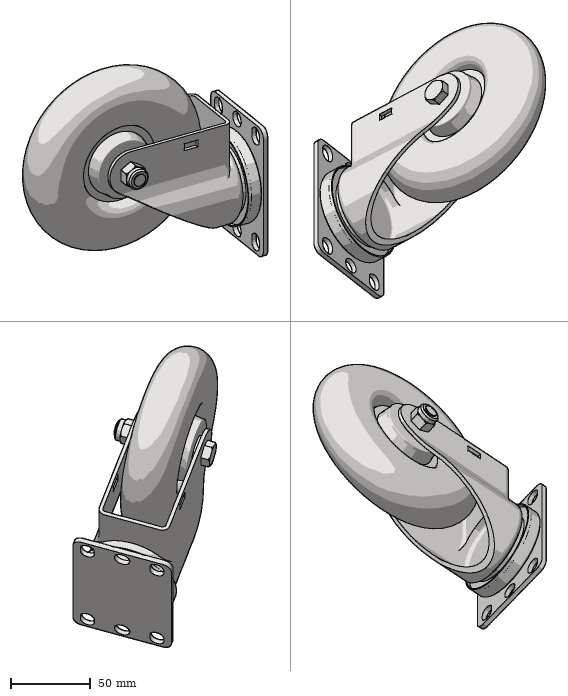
import cadquery as cq
import math


PLATE_WIDTH = 65.0
PLATE_HEIGHT = 92.0
PLATE_THICKNESS = 3.3
PLATE_CORNER = 6.0
SLOT_X = 23.0
SLOT_Z = 37.8
SLOT_WIDTH = 9.3
SLOT_LENGTH = 11.8
HOLE_Z = 39.2
HOLE_DIAMETER = 10.0

RACE_RADIUS = 31.5
RACE_FRONT = 13.5
RACE_EDGE = 1.7
RACE_LIP = 0.8
RACE_RECESS = 2.5

WHEEL_RADIUS = 62.5
TYRE_RADIUS = 16.0
WHEEL_REACH = 157.0
AXLE_DISTANCE = WHEEL_REACH - WHEEL_RADIUS
AXLE_Z = 37.0
TYRE_CENTRE_RADIUS = WHEEL_RADIUS - TYRE_RADIUS
RECESS_RADIUS = 26.7
RECESS_LIP = 7.8
HUB_RADIUS = 20.3
HUB_HALF_WIDTH = 18.0
HUB_EDGE = 0.5
HUB_ROOT_RADIUS = 21.8

SHEET = 2.5
CUP_RADIUS = 28.9
CUP_BACK = 14.0
CUP_EDGE = 4.9
FORK_HALF_WIDTH = 23.2
FORK_BACK = 20.4
FORK_BEND = 4.7
FLARE_TOP_Z = 23.5
FORK_END_RADIUS = 15.0
FORK_TOP_Z = AXLE_Z + FORK_END_RADIUS
CUP_CUT_DISTANCE = 21.4
WINDOW_NEAR = 45.5
WINDOW_LENGTH = 9.9
WINDOW_HEIGHT = 4.9
WINDOW_TOP_Z = 47.0

HEX_FLATS = 14.0
HEX_DIAMETER = HEX_FLATS / math.cos(math.radians(30))
HEX_CHAMFER = 0.8
HEAD_HEIGHT = 5.7
NUT_HEIGHT = 6.9
COLLAR_END = 34.2
COLLAR_CHAMFER = 1.1
BOLT_END = 35.0
BOLT_RADIUS = 4.2
SPACER_RADIUS = 9.9

CLEARANCE = 15.7


def cylinder_y(radius, near, far):
    """Cylinder on the swivel axis between two distances from the mounting face."""
    return cq.Workplane("XZ").workplane(offset=near).circle(radius).extrude(far - near)


def axle_plane(x):
    """Work plane facing +X, centred on the axle."""
    return cq.Workplane("YZ", origin=(x, -AXLE_DISTANCE, AXLE_Z))


def make_plate():
    plate = (
        cq.Workplane("XZ")
        .rect(PLATE_WIDTH, PLATE_HEIGHT)
        .extrude(PLATE_THICKNESS)
        .edges("|Y")
        .fillet(PLATE_CORNER)
    )
    slots = (
        cq.Workplane("XZ")
        .rect(2 * SLOT_X, 2 * SLOT_Z, forConstruction=True)
        .vertices()
        .slot2D(SLOT_LENGTH, SLOT_WIDTH, 90)
        .extrude(PLATE_THICKNESS)
    )
    holes = (
        cq.Workplane("XZ")
        .pushPoints([(0, HOLE_Z), (0, -HOLE_Z)])
        .circle(HOLE_DIAMETER / 2)
        .extrude(PLATE_THICKNESS)
    )
    return plate.cut(slots).cut(holes)


def make_race():
    """Race with a recessed front face and a neck that carries the fork cup."""
    race = cylinder_y(RACE_RADIUS, PLATE_THICKNESS, RACE_FRONT).edges(">Y").fillet(RACE_EDGE)
    recess_floor = RACE_FRONT - RACE_RECESS
    recess = cylinder_y(RACE_RADIUS - RACE_LIP, recess_floor, RACE_FRONT)
    neck = cylinder_y(CUP_RADIUS - CUP_EDGE, recess_floor, CUP_BACK)
    return race.cut(recess).union(neck)


def make_fork_envelope(inset):
    """Solid bounded by the fork's outer skin, moved inwards by the inset."""
    cup_radius = CUP_RADIUS - inset
    half_width = FORK_HALF_WIDTH - inset
    back = FORK_BACK + inset

    flare_radius = (
        (FORK_HALF_WIDTH**2 + FLARE_TOP_Z**2 - CUP_RADIUS**2) / (2 * (CUP_RADIUS - FORK_HALF_WIDTH)) + inset
    )
    flare_x = half_width + flare_radius
    to_cup = math.atan2(FLARE_TOP_Z, flare_x)
    cup_x = cup_radius * math.cos(to_cup)
    cup_z = cup_radius * math.sin(to_cup)
    middle = math.pi + to_cup / 2
    mid_x = flare_x + flare_radius * math.cos(middle)
    mid_z = FLARE_TOP_Z + flare_radius * math.sin(middle)
    top = FORK_TOP_Z + CLEARANCE

    channel = (
        cq.Workplane("XZ")
        .workplane(offset=back)
        .moveTo(-half_width, top)
        .lineTo(half_width, top)
        .lineTo(half_width, FLARE_TOP_Z)
        .threePointArc((mid_x, mid_z), (cup_x, cup_z))
        .threePointArc((0, -cup_radius), (-cup_x, cup_z))
        .threePointArc((-mid_x, mid_z), (-half_width, FLARE_TOP_Z))
        .close()
        .extrude(WHEEL_REACH - back)
        .faces(">Y")
        .edges()
        .fillet(FORK_BEND - inset)
    )
    cup = cylinder_y(cup_radius, CUP_BACK + inset, WHEEL_REACH).edges(">Y").fillet(CUP_EDGE - inset)
    return channel.union(cup)


def make_fork_side_shape():
    """Side outline of the fork, extruded through its full width."""
    drop = AXLE_Z + CUP_RADIUS
    run = AXLE_DISTANCE - CUP_CUT_DISTANCE
    slope = math.atan2(drop, run) - math.asin(FORK_END_RADIUS / math.hypot(drop, run))
    tangent_y = -AXLE_DISTANCE - FORK_END_RADIUS * math.sin(slope)
    tangent_z = AXLE_Z - FORK_END_RADIUS * math.cos(slope)
    arc_middle = (math.pi / 2 - slope) / 2
    arc_y = -AXLE_DISTANCE - FORK_END_RADIUS * math.cos(arc_middle)
    arc_z = AXLE_Z + FORK_END_RADIUS * math.sin(arc_middle)
    return (
        cq.Workplane("YZ")
        .moveTo(-CUP_BACK, FORK_TOP_Z)
        .lineTo(-AXLE_DISTANCE, FORK_TOP_Z)
        .threePointArc((arc_y, arc_z), (tangent_y, tangent_z))
        .lineTo(-CUP_CUT_DISTANCE, -CUP_RADIUS)
        .lineTo(-CUP_BACK, -CUP_RADIUS)
        .close()
        .extrude(CUP_RADIUS, both=True)
    )


def make_fork():
    fork = make_fork_envelope(0).cut(make_fork_envelope(SHEET)).intersect(make_fork_side_shape())
    windows = cq.Workplane("XY").box(2 * CUP_RADIUS, WINDOW_LENGTH, WINDOW_HEIGHT).translate(
        (0, -WINDOW_NEAR - WINDOW_LENGTH / 2, WINDOW_TOP_Z - WINDOW_HEIGHT / 2)
    )
    return fork.cut(windows)


def revolve_about_x(outline):
    return outline.close().revolve(360, (0, 0, 0), (1, 0, 0))


def make_wheel():
    """Wheel disc with a half-round tyre, a ring recess on each side and a hub that stands proud."""
    disc = revolve_about_x(
        cq.Workplane("XY")
        .moveTo(-TYRE_RADIUS, 0)
        .lineTo(TYRE_RADIUS, 0)
        .lineTo(TYRE_RADIUS, TYRE_CENTRE_RADIUS)
        .threePointArc((0, WHEEL_RADIUS), (-TYRE_RADIUS, TYRE_CENTRE_RADIUS))
    )

    floor = TYRE_RADIUS - RECESS_LIP
    bend = math.sqrt(0.5)
    lip_centre = RECESS_RADIUS + RECESS_LIP
    recess = revolve_about_x(
        cq.Workplane("XY")
        .moveTo(TYRE_RADIUS, HUB_RADIUS)
        .lineTo(floor, HUB_ROOT_RADIUS)
        .lineTo(floor, RECESS_RADIUS)
        .threePointArc(
            (floor + RECESS_LIP * bend, lip_centre - RECESS_LIP * bend),
            (TYRE_RADIUS, lip_centre),
        )
    )
    hub = (
        cq.Workplane("YZ")
        .circle(HUB_RADIUS)
        .extrude(HUB_HALF_WIDTH, both=True)
        .faces("<X or >X")
        .fillet(HUB_EDGE)
    )
    wheel = disc.cut(recess).cut(recess.mirror("YZ")).union(hub)
    return wheel.translate((0, -AXLE_DISTANCE, AXLE_Z))


def make_hexagon(x, height):
    """Hexagon with corners up and down, its outer corners chamfered; negative height builds to -X."""
    prism = axle_plane(x).transformed(rotate=(0, 0, 90)).polygon(6, HEX_DIAMETER).extrude(height)
    outer = ">X" if height > 0 else "<X"
    blank = axle_plane(x).circle(HEX_DIAMETER / 2).extrude(height).faces(outer).chamfer(HEX_CHAMFER)
    return prism.intersect(blank)


def make_axle():
    nut_end = FORK_HALF_WIDTH + NUT_HEIGHT
    head = make_hexagon(-FORK_HALF_WIDTH, -HEAD_HEIGHT)
    nut = make_hexagon(FORK_HALF_WIDTH, NUT_HEIGHT)
    collar = (
        axle_plane(nut_end)
        .circle(HEX_FLATS / 2)
        .extrude(COLLAR_END - nut_end)
        .faces(">X")
        .chamfer(COLLAR_CHAMFER)
    )
    bolt = axle_plane(-FORK_HALF_WIDTH).circle(BOLT_RADIUS).extrude(FORK_HALF_WIDTH + BOLT_END)
    spacers = axle_plane(0).circle(SPACER_RADIUS).extrude(FORK_HALF_WIDTH - SHEET, both=True)
    return spacers.union(bolt).union(head).union(nut).union(collar)


result = make_plate().union(make_race()).union(make_fork()).union(make_wheel()).union(make_axle())